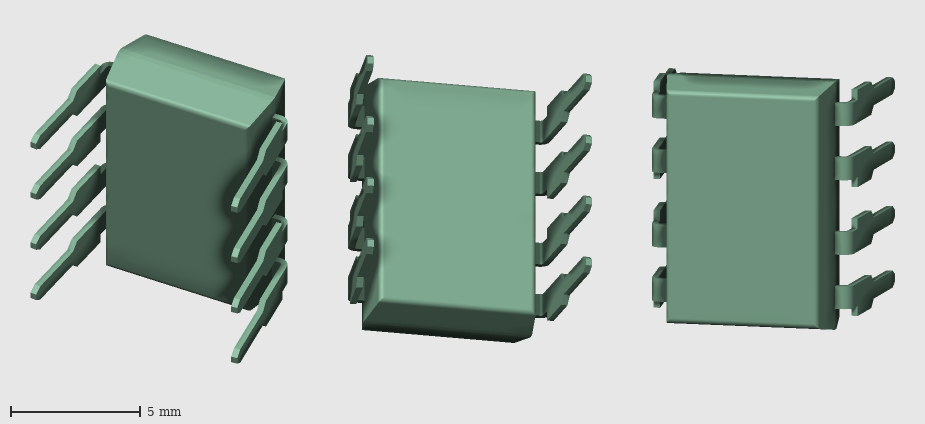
import cadquery as cq
import math


body_width = 6.66
body_length = 9.76
body_half_depth = 1.62
front_draft = 8.0
back_draft = 11.5
edge_radius = 0.205

pins_per_row = 4
pitch = 2.54
lead_thickness = 0.25
lead_span = 8.93
tip_depth = 5.62
splay = 5.0
neck_width = 0.9
shoulder_width = 1.3
pin_width = 0.66
tip_width = 0.27
shoulder_start = 0.47
shoulder_end = 2.22
tip_taper_length = 0.3

half_thickness = lead_thickness / 2
inner_bend_radius = half_thickness
outer_bend_radius = inner_bend_radius + lead_thickness
lean_sin = math.sin(math.radians(splay))
lean_cos = math.cos(math.radians(splay))
bend_y = half_thickness - outer_bend_radius
blade_length = (tip_depth - outer_bend_radius + inner_bend_radius * lean_sin) / lean_cos
bend_x = lead_span / 2 - outer_bend_radius * lean_cos - blade_length * lean_sin
pin_start = shoulder_end + (shoulder_width - pin_width) / 2
pin_end = blade_length - tip_taper_length


def body_half(direction, draft):
    """Drafted half of the body on one side of the parting band, face edges rounded."""
    base = cq.Plane(origin=(0, direction * half_thickness, 0), xDir=(1, 0, 0), normal=(0, direction, 0))
    half = cq.Workplane(base).rect(body_width, body_length).extrude(body_half_depth, taper=draft)
    end_face = ">Y" if direction > 0 else "<Y"
    return half.faces(end_face).edges().fillet(edge_radius)


def make_body():
    band = cq.Workplane("XY").box(body_width, lead_thickness, body_length)
    return band.union(body_half(-1, front_draft)).union(body_half(1, back_draft))


def on_bend(radius, angle):
    """Point on an arc about the bend axis; angle in degrees from +X."""
    turn = math.radians(angle)
    return (bend_x + radius * math.cos(turn), bend_y + radius * math.sin(turn))


def make_neck(neck_centre):
    """Flat stub from the body side and the bend that turns it towards -Y."""
    middle_angle = (90 + splay) / 2
    return (
        cq.Workplane("XY")
        .moveTo(body_width / 2, half_thickness)
        .lineTo(*on_bend(outer_bend_radius, 90))
        .threePointArc(on_bend(outer_bend_radius, middle_angle), on_bend(outer_bend_radius, splay))
        .lineTo(*on_bend(inner_bend_radius, splay))
        .threePointArc(on_bend(inner_bend_radius, middle_angle), on_bend(inner_bend_radius, 90))
        .lineTo(body_width / 2, -half_thickness)
        .close()
        .extrude(neck_width / 2, both=True)
        .translate((0, 0, neck_centre))
    )


def make_blade(step_side):
    """Flat blade after the bend; its shoulder steps out past the neck on the step side."""
    inner_face = cq.Plane(
        origin=(*on_bend(inner_bend_radius, splay), 0),
        xDir=(lean_sin, -lean_cos, 0),
        normal=(lean_cos, lean_sin, 0),
    )
    step = -step_side
    shoulder = step * shoulder_width / 2
    neck_edge = step * neck_width - shoulder
    pin = step * pin_width / 2
    tip = step * tip_width / 2
    outline = [
        (0, -shoulder),
        (shoulder_end, -shoulder),
        (pin_start, -pin),
        (pin_end, -pin),
        (blade_length, -tip),
        (blade_length, tip),
        (pin_end, pin),
        (pin_start, pin),
        (shoulder_end, shoulder),
        (shoulder_start, shoulder),
        (shoulder_start, neck_edge),
        (0, neck_edge),
    ]
    return cq.Workplane(inner_face).polyline(outline).close().extrude(lead_thickness)


def make_lead(step_side):
    """Lead of the +X row; the neck is flush with the shoulder edge away from the step side."""
    neck_centre = -step_side * (shoulder_width - neck_width) / 2
    return make_neck(neck_centre).union(make_blade(step_side))


body = make_body()

leads = []
for index in range(pins_per_row):
    height = (index - (pins_per_row - 1) / 2) * pitch
    right_lead = make_lead(1 if index % 2 else -1).translate((0, 0, height))
    leads.append(right_lead)
    leads.append(right_lead.mirror("YZ"))

result = cq.Compound.makeCompound([body.solids().val(), *[lead.solids().val() for lead in leads]])